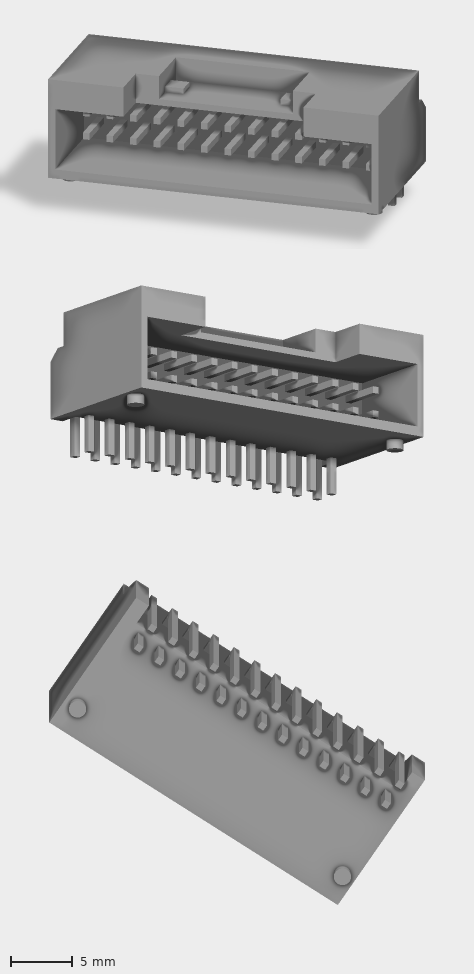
import cadquery as cq

body_width = 28.0
body_depth = 10.9
body_height = 8.5

side_wall = 0.62
floor_wall = 0.78
cavity_height = 5.2
cavity_depth = 7.73

notch_width = 15.25
notch_depth = 3.35
recess_width = 11.35
recess_back = 7.92
recess_depth = 2.0

block_size = 1.57
block_height = 0.5
block_front = 5.0

ear_width = 1.23
ear_length = 1.82
ear_height = 5.7
ear_bevel_run = 1.05
ear_bevel_rise = 0.98

peg_diameter = 1.4
peg_height = 0.78
peg_inset = 1.15
peg_y = 2.4

pin_count = 13
pin_span = 24.0
pin_pitch = pin_span / (pin_count - 1)
pin_size = 0.55
pin_tip_y = 3.85
pin_drop = 3.0
upper_row_z = 4.42
rear_row_y = 12.07

overlap = 0.15


def box(width, y_start, y_end, z_start, z_end, x_centre=0.0):
    """Axis-aligned block given by its width and its Y and Z limits."""
    return (
        cq.Workplane("XY")
        .box(width, y_end - y_start, z_end - z_start, centered=(True, False, False))
        .translate((x_centre, y_start, z_start))
    )


def make_housing():
    """Hollow block with the stepped opening in its roof."""
    cavity_width = body_width - 2 * side_wall
    cavity_top = floor_wall + cavity_height
    recess_floor = body_height - recess_depth
    housing = box(body_width, 0, body_depth, 0, body_height)
    housing = housing.cut(box(cavity_width, 0, cavity_depth, floor_wall, cavity_top))
    housing = housing.cut(box(notch_width, 0, notch_depth, floor_wall, body_height))
    return housing.cut(box(recess_width, 0, recess_back, recess_floor, body_height))


def make_latch_block(side):
    """Block on the recess floor, against the wall on the given side (-1 or +1)."""
    floor_z = body_height - recess_depth
    x_centre = side * (recess_width - block_size) / 2
    block_back = block_front + block_size
    return box(block_size, block_front, block_back, floor_z, floor_z + block_height, x_centre)


def make_ear(side):
    """Rear ear with a bevelled top edge, flush with the end of the housing."""
    ear_end = body_depth + ear_length
    outer_x = side * body_width / 2
    return (
        cq.Workplane("YZ", origin=(outer_x, 0, 0))
        .moveTo(body_depth - overlap, 0)
        .lineTo(ear_end, 0)
        .lineTo(ear_end, ear_height - ear_bevel_rise)
        .lineTo(ear_end - ear_bevel_run, ear_height)
        .lineTo(body_depth - overlap, ear_height)
        .close()
        .extrude(-side * ear_width)
    )


def make_peg(side):
    """Round locating peg below the underside."""
    peg_x = side * (body_width / 2 - peg_inset)
    return (
        cq.Workplane("XY", origin=(peg_x, peg_y, -peg_height))
        .circle(peg_diameter / 2)
        .extrude(peg_height + overlap)
    )


def make_pin(x_centre, row_z, tail_y):
    """Square pin running back from the cavity, then turning straight down."""
    half = pin_size / 2
    contact = box(pin_size, pin_tip_y, tail_y + half, row_z - half, row_z + half, x_centre)
    tail = box(pin_size, tail_y - half, tail_y + half, -pin_drop, row_z + half, x_centre)
    return contact.union(tail)


result = make_housing()
for side in (-1, 1):
    result = result.union(make_latch_block(side))
    result = result.union(make_ear(side))
    result = result.union(make_peg(side))

for index in range(pin_count):
    pin_x = index * pin_pitch - pin_span / 2
    result = result.union(make_pin(pin_x, upper_row_z, rear_row_y))
    result = result.union(make_pin(pin_x, upper_row_z - pin_pitch, rear_row_y - pin_pitch))